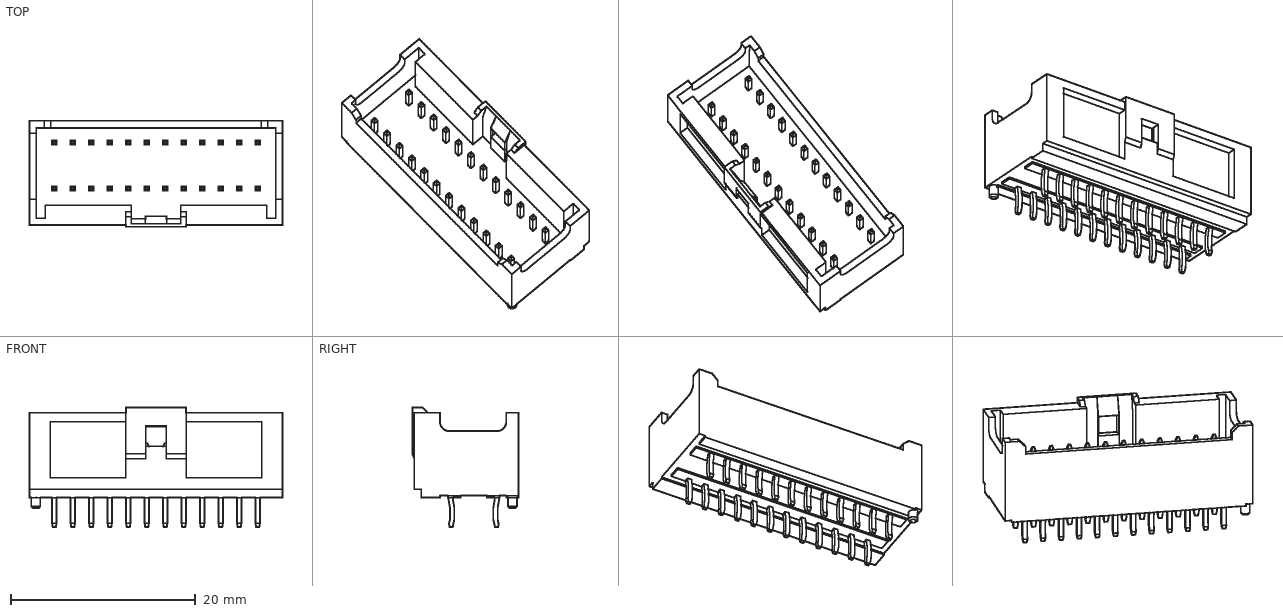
import cadquery as cq


PINS_PER_ROW = 12
PITCH = 2.0
ROW_SPACING = 5.0

LENGTH = 27.4
BACK_Y = 4.85
DEPTH = 11.3
FRONT_Y = BACK_Y - DEPTH
TOP_Z = 9.2
FOOT_HEIGHT = 0.2
FRONT_STEP_DEPTH = 0.75
FRONT_STEP_Z = 0.9
FRONT_FOOT_WIDTH = 2.05
FRONT_FOOT_BACK_Y = FRONT_Y + FRONT_STEP_DEPTH + FRONT_FOOT_WIDTH

FOOT_INSET = 0.75
BACK_FOOT_WIDTH = 1.35
ROW_FOOT_WIDTH = 1.4
ROW_FOOT_OVERHANG = 0.3

FLOOR_Z = 2.65
SIDE_WALL = 0.75
BACK_WALL_TOP = 0.75
BACK_WALL_BASE = 0.82
FRONT_WALL = 2.13
CORNER_SLOT_WALL = 0.75
CORNER_SLOT_WIDTH = 1.0
CAVITY_LENGTH = LENGTH - 2 * SIDE_WALL

SIDE_OPENING_Z = 7.2
SIDE_OPENING_BACK_Y = BACK_Y - BACK_FOOT_WIDTH
SIDE_OPENING_FRONT_Y = FRONT_FOOT_BACK_Y
SIDE_OPENING_RADIUS = 1.0
BACK_OPENING_Z = 7.7
BACK_OPENING_HALF = 11.4
BACK_OPENING_CHAMFER = 0.7

RECESS_OUTER_X = 11.45
RECESS_BOTTOM_Z = 2.15
RECESS_TOP_Z = 8.2
RECESS_DEPTH = 1.0

TAB_WIDTH = 6.5
TAB_PROUD = 0.2
TAB_FRONT_Y = FRONT_Y - TAB_PROUD
TAB_TOP_Z = 9.75
TAB_RISE = TAB_TOP_Z - TOP_Z
TAB_TOP_THICKNESS = 1.1
TAB_TOP_BACK_Y = TAB_FRONT_Y + TAB_TOP_THICKNESS
TAB_BOTTOM_Z = 4.2
TAB_BOTTOM_BEVEL = 0.55
TAB_TIP_WALL = 0.35
TAB_ROOT_WALL = 0.87
KEY_SLOT_WIDTH = 5.4
WINDOW_TOP_Z = 7.75
WINDOW_SILL_Z = 5.55
WINDOW_WIDTH = 2.2
RIB_CHEEK = 0.05
RIB_DEPTH = 1.15
RIB_BACK_Y = TAB_FRONT_Y + RIB_DEPTH

PEG_DIAMETER = 1.0
PEG_CHAMFER = 0.2
PEG_BOTTOM_Z = -1.15
PEG_X = -13.0
PEG_FROM_BACK = 0.67
PEG_Y = BACK_Y - PEG_FROM_BACK

PIN_WIDTH = 0.5
PIN_TOP_Z = 5.85
PIN_TOP_TAPER = 0.4
PIN_TOP_WIDTH = 0.2
TAIL_BEND = 0.15
TAIL_END_OFFSET = 0.05
BEND_START_Z = -0.2
BEND_END_Z = -1.05
RETURN_START_Z = -2.4
RETURN_END_Z = -2.8
TAIL_END_Z = -3.2
TAIL_END_WIDTH = 0.36


def block(x0, x1, y0, y1, z0, z1):
    """Box between opposite corner coordinates."""
    return cq.Workplane("XY").box(x1 - x0, y1 - y0, z1 - z0, centered=False).translate((x0, y0, z0))


def side_prism(points, width):
    """Prism with a (Y, Z) outline, centred on X = 0."""
    return cq.Workplane("YZ").polyline(points).close().extrude(width / 2, both=True)


def make_housing():
    """Outer block with the stepped front edge and the full-length front foot."""
    step_y = FRONT_Y + FRONT_STEP_DEPTH
    outline = [
        (BACK_Y, FOOT_HEIGHT),
        (BACK_Y, TOP_Z),
        (FRONT_Y, TOP_Z),
        (FRONT_Y, FRONT_STEP_Z),
        (step_y, FRONT_STEP_Z),
        (step_y, 0),
        (FRONT_FOOT_BACK_Y, 0),
        (FRONT_FOOT_BACK_Y, FOOT_HEIGHT),
    ]
    return side_prism(outline, LENGTH)


def make_feet():
    """Rails along the back edge and under each pin row."""
    outer_row_y = ROW_SPACING / 2 + ROW_FOOT_OVERHANG
    inner_row_y = outer_row_y - ROW_FOOT_WIDTH
    spans = [
        (BACK_Y - BACK_FOOT_WIDTH, BACK_Y),
        (inner_row_y, outer_row_y),
        (-outer_row_y, -inner_row_y),
    ]
    half = LENGTH / 2 - FOOT_INSET
    feet = cq.Workplane("XY")
    for y0, y1 in spans:
        feet = feet.add(block(-half, half, y0, y1, 0, FLOOR_Z))
    return feet.combine()


def make_cavity():
    """Cavity with a slightly drafted back wall and a slot in each front corner."""
    front_wall_y = FRONT_Y + FRONT_WALL
    outline = [
        (front_wall_y, FLOOR_Z),
        (BACK_Y - BACK_WALL_BASE, FLOOR_Z),
        (BACK_Y - BACK_WALL_TOP, TOP_Z),
        (front_wall_y, TOP_Z),
    ]
    cavity = side_prism(outline, CAVITY_LENGTH)
    slot_y = FRONT_Y + CORNER_SLOT_WALL
    outer_x = CAVITY_LENGTH / 2
    inner_x = outer_x - CORNER_SLOT_WIDTH
    for x0, x1 in ((-outer_x, -inner_x), (inner_x, outer_x)):
        cavity = cavity.union(block(x0, x1, slot_y, front_wall_y, FLOOR_Z, TOP_Z))
    return cavity


def make_side_opening():
    """Round-cornered opening in the top of both side walls."""
    opening = block(
        -LENGTH / 2, LENGTH / 2, SIDE_OPENING_FRONT_Y, SIDE_OPENING_BACK_Y, SIDE_OPENING_Z, TOP_Z
    )
    return opening.edges("|X and <Z").fillet(SIDE_OPENING_RADIUS)


def make_back_opening():
    """Lowered middle of the back wall, flared at the top of both ends."""
    flare_x = BACK_OPENING_HALF + BACK_OPENING_CHAMFER
    flare_z = TOP_Z - BACK_OPENING_CHAMFER
    outline = [
        (-BACK_OPENING_HALF, BACK_OPENING_Z),
        (BACK_OPENING_HALF, BACK_OPENING_Z),
        (BACK_OPENING_HALF, flare_z),
        (flare_x, TOP_Z),
        (-flare_x, TOP_Z),
        (-BACK_OPENING_HALF, flare_z),
    ]
    prism = cq.Workplane("XZ").polyline(outline).close().extrude(BACK_WALL_BASE)
    return prism.translate((0, BACK_Y, 0))


def make_front_recess(side):
    """Recess in the front face, on the side given by the sign of X."""
    xs = sorted((side * TAB_WIDTH / 2, side * RECESS_OUTER_X))
    return block(*xs, FRONT_Y, FRONT_Y + RECESS_DEPTH, RECESS_BOTTOM_Z, RECESS_TOP_Z)


def make_tab():
    """Latch tab, bevelled at its top back edge and under its front face."""
    outline = [
        (TAB_FRONT_Y, TAB_TOP_Z),
        (TAB_TOP_BACK_Y, TAB_TOP_Z),
        (TAB_TOP_BACK_Y + TAB_RISE, TOP_Z),
        (FRONT_Y, TOP_Z),
        (FRONT_Y, TAB_BOTTOM_Z),
        (TAB_FRONT_Y, TAB_BOTTOM_Z + TAB_BOTTOM_BEVEL),
    ]
    return side_prism(outline, TAB_WIDTH)


def make_key_slot():
    """Slot behind the tab, open to the cavity; the tab thins upwards above the window."""
    inner_y = FRONT_Y + FRONT_WALL
    root_y = TAB_FRONT_Y + TAB_ROOT_WALL
    outline = [
        (inner_y, FLOOR_Z),
        (root_y, FLOOR_Z),
        (root_y, WINDOW_TOP_Z),
        (TAB_FRONT_Y + TAB_TIP_WALL, TAB_TOP_Z),
        (inner_y, TAB_TOP_Z),
    ]
    return side_prism(outline, KEY_SLOT_WIDTH)


def make_window():
    """Opening through the tab and its rib, with a shallow relief below it."""
    half = WINDOW_WIDTH / 2
    opening = block(-half, half, TAB_FRONT_Y, RIB_BACK_Y, WINDOW_SILL_Z, WINDOW_TOP_Z)
    relief = block(-half, half, TAB_FRONT_Y, FRONT_Y, TAB_BOTTOM_Z, WINDOW_SILL_Z)
    return opening.union(relief)


def make_rib():
    """Rib down the back of the tab, with a ramped top that guides a mating latch."""
    outline = [
        (FRONT_Y, FLOOR_Z),
        (FRONT_Y, TAB_TOP_Z),
        (TAB_FRONT_Y + TAB_TIP_WALL, TAB_TOP_Z),
        (RIB_BACK_Y, WINDOW_TOP_Z),
        (RIB_BACK_Y, FLOOR_Z),
    ]
    return side_prism(outline, WINDOW_WIDTH + 2 * RIB_CHEEK)


def make_peg():
    """Locating peg with a chamfered end."""
    peg = cq.Workplane("XY").circle(PEG_DIAMETER / 2).extrude(FLOOR_Z - PEG_BOTTOM_Z)
    return peg.faces("<Z").chamfer(PEG_CHAMFER).translate((PEG_X, PEG_Y, PEG_BOTTOM_Z))


def make_taper(y, z, end_width, height):
    """Square pin end that narrows from the pin width; a negative height points down."""
    taper = cq.Workplane("XY").rect(PIN_WIDTH, PIN_WIDTH)
    taper = taper.workplane(offset=height).rect(end_width, end_width).loft(ruled=True)
    return taper.translate((0, y, z))


def make_pin(row_y):
    """Pin at X = 0, its tail kinked towards the other row."""
    inward = -1 if row_y > 0 else 1
    shoulder_z = PIN_TOP_Z - PIN_TOP_TAPER
    bend_y = row_y + inward * TAIL_BEND
    end_y = row_y + inward * TAIL_END_OFFSET
    centre_line = [
        (row_y, shoulder_z),
        (row_y, BEND_START_Z),
        (bend_y, BEND_END_Z),
        (bend_y, RETURN_START_Z),
        (end_y, RETURN_END_Z),
    ]
    half = PIN_WIDTH / 2
    one_side = [(y - half, z) for y, z in centre_line]
    other_side = [(y + half, z) for y, z in reversed(centre_line)]
    pin = side_prism(one_side + other_side, PIN_WIDTH)
    pin = pin.union(make_taper(row_y, shoulder_z, PIN_TOP_WIDTH, PIN_TOP_TAPER))
    return pin.union(make_taper(end_y, RETURN_END_Z, TAIL_END_WIDTH, TAIL_END_Z - RETURN_END_Z))


housing = make_housing().union(make_feet()).union(make_tab())
housing = housing.cut(make_cavity())
housing = housing.cut(make_side_opening())
housing = housing.cut(make_back_opening())
for side in (-1, 1):
    housing = housing.cut(make_front_recess(side))
housing = housing.cut(make_key_slot())
housing = housing.union(make_rib())
housing = housing.cut(make_window())

result = housing.union(make_peg())
for row_y in (-ROW_SPACING / 2, ROW_SPACING / 2):
    pin = make_pin(row_y)
    for i in range(PINS_PER_ROW):
        pin_x = (i - (PINS_PER_ROW - 1) / 2) * PITCH
        result = result.union(pin.translate((pin_x, 0, 0)))